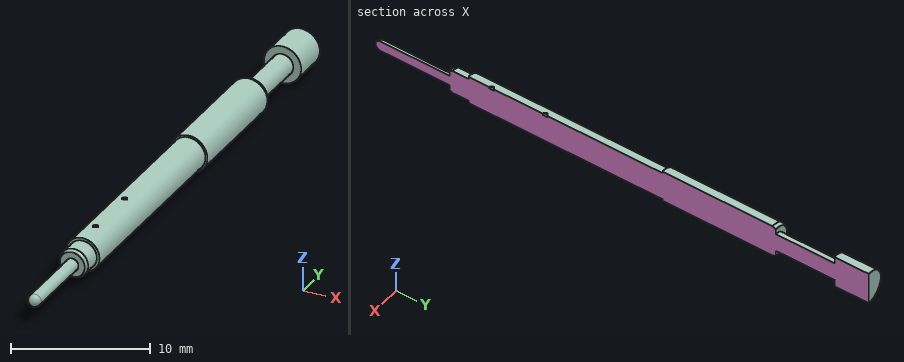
import cadquery as cq

total_length = 43.3

head_diameter = 3.0
head_length = 3.05
stem_diameter = 1.75
stem_length = 5.1
collar_diameter = head_diameter
collar_length = 9.95
barrel_diameter = 2.7
barrel_length = 17.0
tail_diameter = 2.25
tail_length = 1.7
pin_diameter = 1.0

chamfer_length = 0.3
chamfer_depth = 0.15

dimple_diameter = 0.4
dimple_depth = 0.15
dimple_offsets = (2.05, 6.7)

head_face_y = total_length / 2
head_back_y = head_face_y - head_length
collar_front_y = head_back_y - stem_length
collar_back_y = collar_front_y - collar_length
barrel_end_y = collar_back_y - barrel_length
tail_end_y = barrel_end_y - tail_length
pin_end_y = head_face_y - total_length


def rod(diameter, start_y, end_y):
    """Round bar on the Y axis from start_y towards -Y, ending at end_y."""
    plane = cq.Workplane("XZ", origin=(0, start_y, 0))
    return plane.circle(diameter / 2).extrude(start_y - end_y)


def make_collar():
    """Stop collar with a slim chamfer around its stem end."""
    collar = rod(collar_diameter, collar_front_y, collar_back_y)
    return collar.faces(">Y").chamfer(chamfer_length, chamfer_depth)


def make_tail():
    """Short plug with a slim chamfer around its outer end."""
    tail = rod(tail_diameter, barrel_end_y, tail_end_y)
    return tail.faces("<Y").chamfer(chamfer_length, chamfer_depth)


def make_pin():
    """Thin pin with a hemispherical tip."""
    tip_radius = pin_diameter / 2
    tip_center_y = pin_end_y + tip_radius
    shank = rod(pin_diameter, tail_end_y, tip_center_y)
    tip = cq.Workplane("XY", origin=(0, tip_center_y, 0)).sphere(tip_radius)
    return shank.union(tip)


def make_dimple(center_y):
    """Round blind cutter sunk into the top of the barrel."""
    barrel_top = barrel_diameter / 2
    plane = cq.Workplane("XY", origin=(0, center_y, barrel_top - dimple_depth))
    return plane.circle(dimple_diameter / 2).extrude(2 * dimple_depth)


head = rod(head_diameter, head_face_y, head_back_y)
stem = rod(stem_diameter, head_back_y, collar_front_y)
barrel = rod(barrel_diameter, collar_back_y, barrel_end_y)
for offset in dimple_offsets:
    barrel = barrel.cut(make_dimple(barrel_end_y + offset))

result = head.union(stem).union(make_collar()).union(barrel).union(make_tail()).union(make_pin())